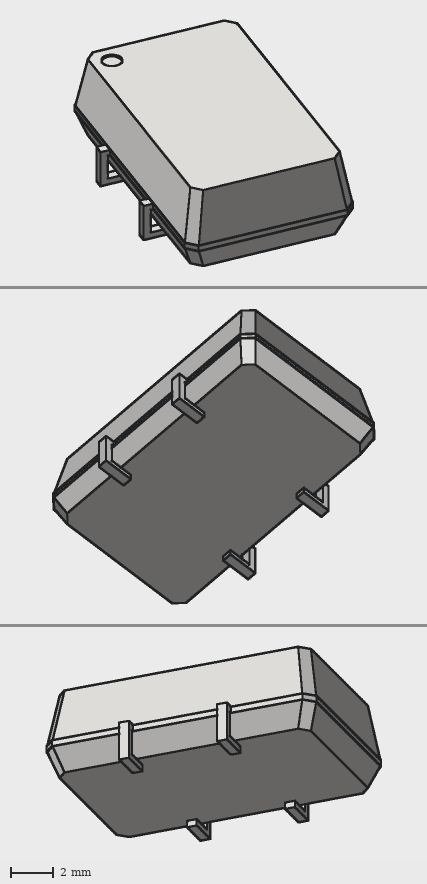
import cadquery as cq

BELT_LENGTH = 14.0
BELT_WIDTH = 8.75
BELT_CORNER = 0.5
SHOULDER = 0.03
END_LENGTH = 13.02
END_WIDTH = 7.75
END_CORNER = 0.46

TOP_Z = 4.7
BELT_TOP_Z = 1.95
BELT_BOTTOM_Z = 1.62
BASE_Z = 0.38

MARK_DIAMETER = 1.0
MARK_DEPTH = 0.1
MARK_X = -5.5
MARK_Y = -2.87

LEAD_SPAN = 9.75
LEAD_WIDTH = 0.5
LEAD_PITCH = 5.08
LEAD_LEG_THICKNESS = 0.38
FOOT_THICKNESS = 0.34
FOOT_LENGTH = 1.62


def cut_corner_outline(length, width, corner):
    """Closed rectangle outline with its four corners cut at 45 degrees."""
    x = length / 2
    y = width / 2
    points = [
        (x, y - corner), (x - corner, y),
        (corner - x, y), (-x, y - corner),
        (-x, corner - y), (corner - x, -y),
        (x - corner, -y), (x, corner - y),
    ]
    return cq.Sketch().polygon(points + points[:1])


def make_taper(wide_z, narrow_z):
    """Ruled taper from the belt outline to a smaller end face."""
    belt_face = cut_corner_outline(
        BELT_LENGTH - 2 * SHOULDER, BELT_WIDTH - 2 * SHOULDER, BELT_CORNER
    )
    end_face = cut_corner_outline(END_LENGTH, END_WIDTH, END_CORNER)
    return (
        cq.Workplane("XY")
        .placeSketch(
            belt_face.moved(cq.Location(cq.Vector(0, 0, wide_z))),
            end_face.moved(cq.Location(cq.Vector(0, 0, narrow_z))),
        )
        .loft(ruled=True)
    )


def make_housing():
    belt = (
        cq.Workplane("XY", origin=(0, 0, BELT_BOTTOM_Z))
        .placeSketch(cut_corner_outline(BELT_LENGTH, BELT_WIDTH, BELT_CORNER))
        .extrude(BELT_TOP_Z - BELT_BOTTOM_Z)
    )
    cover = make_taper(BELT_TOP_Z, TOP_Z)
    base = make_taper(BELT_BOTTOM_Z, BASE_Z)
    mark = (
        cq.Workplane("XY", origin=(MARK_X, MARK_Y, TOP_Z))
        .circle(MARK_DIAMETER / 2)
        .extrude(-MARK_DEPTH)
    )
    return belt.union(cover).union(base).cut(mark)


def make_lead(x, side):
    """One lead on the +Y (side = 1) or -Y (side = -1) face, centred at x."""
    outer_y = LEAD_SPAN / 2
    leg_inner_y = outer_y - LEAD_LEG_THICKNESS
    foot_tip_y = outer_y - FOOT_LENGTH
    belt_y = BELT_WIDTH / 2
    profile = [
        (belt_y, BELT_TOP_Z), (outer_y, BELT_TOP_Z),
        (outer_y, 0), (foot_tip_y, 0),
        (foot_tip_y, FOOT_THICKNESS), (leg_inner_y, FOOT_THICKNESS),
        (leg_inner_y, BELT_BOTTOM_Z), (belt_y, BELT_BOTTOM_Z),
    ]
    return (
        cq.Workplane("YZ", origin=(x - LEAD_WIDTH / 2, 0, 0))
        .polyline([(side * y, z) for y, z in profile])
        .close()
        .extrude(LEAD_WIDTH)
    )


housing = make_housing()
leads = [
    make_lead(x, side)
    for x in (-LEAD_PITCH / 2, LEAD_PITCH / 2)
    for side in (-1, 1)
]

result = cq.Compound.makeCompound([housing.val(), *[lead.val() for lead in leads]])